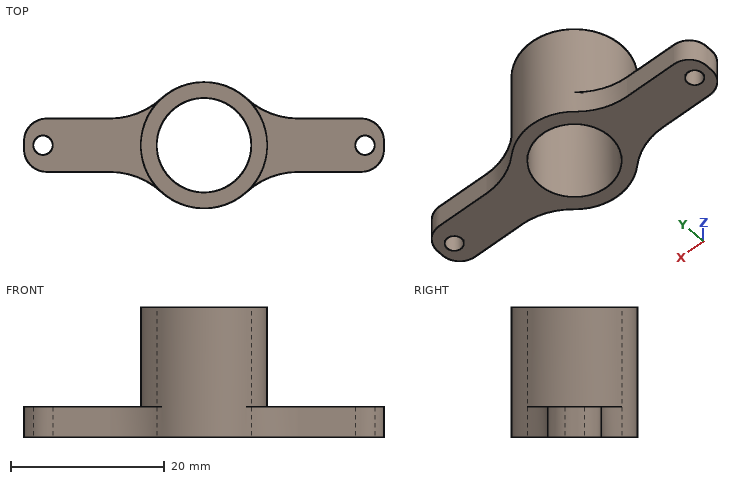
import cadquery as cq
import math

TUBE_OUTER_DIAMETER = 16.5
TUBE_BORE_DIAMETER = 12.3
TUBE_HEIGHT = 17.0

ARM_SPAN = 47.0
ARM_WIDTH = 7.0
ARM_THICKNESS = 4.0
ARM_CORNER_RADIUS = 3.0
ARM_BLEND_RADIUS = 10.0

SCREW_HOLE_DIAMETER = 2.5
SCREW_HOLE_SPACING = 42.0


def make_tube():
    return cq.Workplane("XY").circle(TUBE_OUTER_DIAMETER / 2).extrude(TUBE_HEIGHT)


def make_straight_arms():
    return (
        cq.Workplane("XY")
        .rect(ARM_SPAN, ARM_WIDTH)
        .extrude(ARM_THICKNESS)
        .edges("|Z")
        .fillet(ARM_CORNER_RADIUS)
    )


def make_blend(x_side, y_side):
    """Flared web filling the corner between one arm side and the tube."""
    tube_radius = TUBE_OUTER_DIAMETER / 2
    half_width = ARM_WIDTH / 2
    center_distance = tube_radius + ARM_BLEND_RADIUS

    center_y = half_width + ARM_BLEND_RADIUS
    center_x = math.sqrt(center_distance**2 - center_y**2)
    tube_touch_x = center_x * tube_radius / center_distance
    tube_touch_y = center_y * tube_radius / center_distance

    tube_contact_angle = math.atan2(-center_y, -center_x)
    arm_contact_angle = -math.pi / 2
    middle_angle = (tube_contact_angle + arm_contact_angle) / 2
    middle_x = center_x + ARM_BLEND_RADIUS * math.cos(middle_angle)
    middle_y = center_y + ARM_BLEND_RADIUS * math.sin(middle_angle)

    return (
        cq.Workplane("XY")
        .lineTo(x_side * center_x, 0)
        .lineTo(x_side * center_x, y_side * half_width)
        .threePointArc(
            (x_side * middle_x, y_side * middle_y),
            (x_side * tube_touch_x, y_side * tube_touch_y),
        )
        .close()
        .extrude(ARM_THICKNESS)
    )


def make_bore():
    return cq.Workplane("XY").circle(TUBE_BORE_DIAMETER / 2).extrude(TUBE_HEIGHT)


def make_screw_holes():
    half_spacing = SCREW_HOLE_SPACING / 2
    return (
        cq.Workplane("XY")
        .pushPoints([(-half_spacing, 0), (half_spacing, 0)])
        .circle(SCREW_HOLE_DIAMETER / 2)
        .extrude(ARM_THICKNESS)
    )


body = make_tube().union(make_straight_arms())
for x_side in (-1, 1):
    for y_side in (-1, 1):
        body = body.union(make_blend(x_side, y_side))

result = body.cut(make_bore()).cut(make_screw_holes())